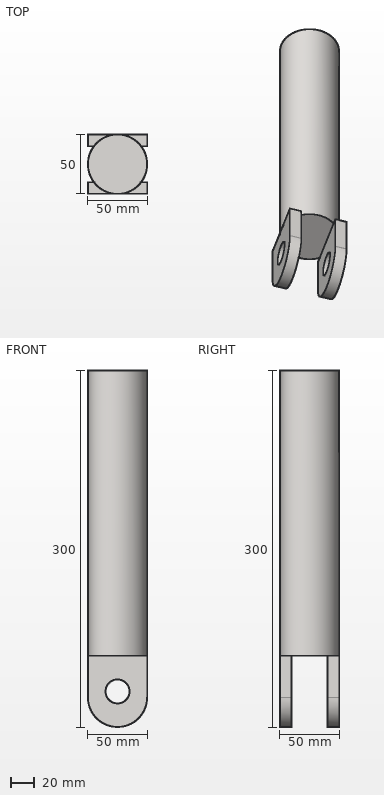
import cadquery as cq

total_length = 300.0
rod_diameter = 50.0
lug_length = 60.0
lug_thickness = 10.0
pin_hole_diameter = 20.0
pin_hole_height = 30.0

rod_radius = rod_diameter / 2
rod_length = total_length - lug_length
lug_width = rod_diameter
tip_radius = lug_width / 2
lug_inner_offset = rod_radius - lug_thickness


def make_rod():
    """Round rod standing on top of the fork lugs."""
    return cq.Workplane("XY").workplane(offset=lug_length).circle(rod_radius).extrude(rod_length)


def make_lug(y_start):
    """Round-ended fork lug filling lug_thickness in +Y from y_start, with its pin hole."""
    plate = (
        cq.Workplane("XZ", origin=(0, y_start, 0))
        .moveTo(-tip_radius, lug_length)
        .lineTo(-tip_radius, tip_radius)
        .threePointArc((0, 0), (tip_radius, tip_radius))
        .lineTo(tip_radius, lug_length)
        .close()
        .extrude(-lug_thickness)
    )
    pin_hole = (
        cq.Workplane("XZ", origin=(0, y_start, pin_hole_height))
        .circle(pin_hole_diameter / 2)
        .extrude(-lug_thickness)
    )
    return plate.cut(pin_hole)


result = make_rod()
for lug_start in (-rod_radius, lug_inner_offset):
    result = result.union(make_lug(lug_start))